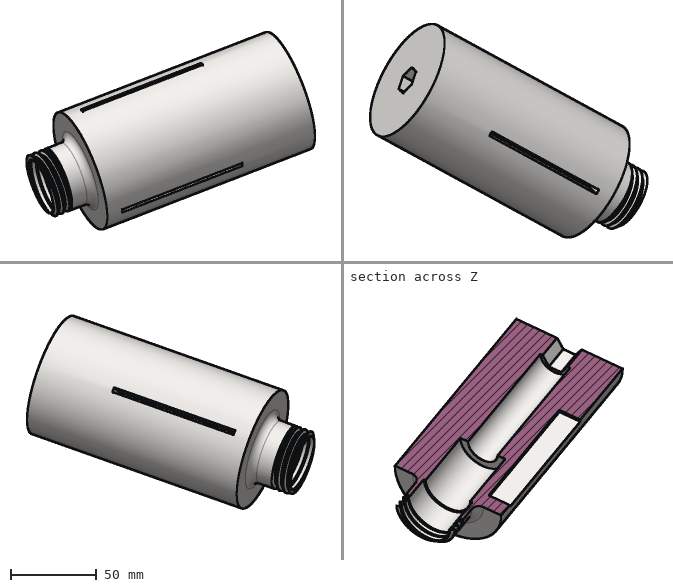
import cadquery as cq

overall_length = 159.5
body_diameter = 73.0
body_front = 25.5

neck_diameter = 38.7
neck_fillet = 5.0
thread_length = 11.0
thread_root_diameter = 34.1
thread_pitch = 3.8
thread_base_width = 3.0
thread_crest_width = 0.5
thread_first_crest = -2.0
thread_turns = 4
thread_overlap = 0.2
seam_angle = 90

mouth_diameter = 33.0
mouth_depth = body_front
socket_diameter = 30.5
socket_depth = 63.8
bore_diameter = 20.1
bore_end = 143.5
hexagon_across_corners = 16.9

slot_count = 3
slot_start = 35.2
slot_length = 77.3
slot_width = 2.9
slot_depth = 14.4


def cylinder(diameter, start, end):
    """Round bar along the part axis, built along Z."""
    return cq.Workplane("XY").workplane(offset=start).circle(diameter / 2).extrude(end - start)


def make_shell():
    """Outer body, fillet, plain neck and thread core as one turned profile."""
    root_radius = thread_root_diameter / 2
    neck_radius = neck_diameter / 2
    body_radius = body_diameter / 2
    fillet_start = body_front - neck_fillet
    fillet_mid = neck_fillet * (1 - 0.5 ** 0.5)
    return (
        cq.Workplane("XZ")
        .moveTo(0, 0)
        .lineTo(root_radius, 0)
        .lineTo(root_radius, thread_length)
        .lineTo(neck_radius, thread_length)
        .lineTo(neck_radius, fillet_start)
        .threePointArc(
            (neck_radius + fillet_mid, body_front - fillet_mid),
            (neck_radius + neck_fillet, body_front),
        )
        .lineTo(body_radius, body_front)
        .lineTo(body_radius, overall_length)
        .lineTo(0, overall_length)
        .close()
        .revolve(360, (0, 0, 0), (0, 1, 0))
        .rotate((0, 0, 0), (0, 0, 1), seam_angle)
    )


def make_thread():
    """Right-handed helical ridge, trimmed to the threaded length."""
    inner_radius = thread_root_diameter / 2 - thread_overlap
    crest_radius = neck_diameter / 2
    half_base = thread_base_width / 2
    half_crest = thread_crest_width / 2
    path = cq.Wire.makeHelix(
        thread_pitch,
        thread_pitch * thread_turns,
        inner_radius,
        center=cq.Vector(0, 0, thread_first_crest),
    )
    ridge = (
        cq.Workplane("XZ")
        .polyline([
            (inner_radius, thread_first_crest - half_base),
            (crest_radius, thread_first_crest - half_crest),
            (crest_radius, thread_first_crest + half_crest),
            (inner_radius, thread_first_crest + half_base),
        ])
        .close()
        .sweep(cq.Workplane(path), isFrenet=True)
    )
    return ridge.intersect(cylinder(body_diameter, 0, thread_length))


def make_passage():
    """Stepped round passage that ends in a hexagonal through hole."""
    hexagon = cq.Workplane("XY").polygon(6, hexagon_across_corners).extrude(overall_length)
    return (
        cylinder(mouth_diameter, 0, mouth_depth)
        .union(cylinder(socket_diameter, 0, socket_depth))
        .union(cylinder(bore_diameter, 0, bore_end))
        .union(hexagon)
    )


def make_slots():
    """Equally spaced radial slots, the first one facing +X."""
    outer_radius = body_diameter / 2
    slot = cq.Workplane("XY").box(
        2 * slot_depth, slot_width, slot_length, centered=(True, True, False)
    ).translate((outer_radius, 0, slot_start))
    slots = cq.Workplane("XY")
    for index in range(slot_count):
        slots = slots.add(slot.rotate((0, 0, 0), (0, 0, 1), index * 360 / slot_count))
    return slots.combine()


part = make_shell().union(make_thread()).cut(make_passage()).cut(make_slots())

result = part.rotate((0, 0, 0), (1, 0, 0), -90)